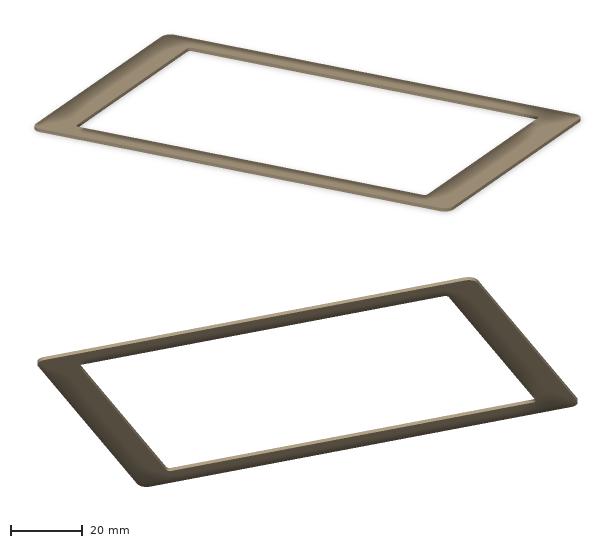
import cadquery as cq

length = 132.0
width = 80.1
thickness = 1.0
corner_radius = 2.8

window_length = 110.9
window_width = 67.3
window_corner_radius = 1.0

plate = (
    cq.Workplane("XY")
    .rect(length, width)
    .extrude(thickness)
    .edges("|Z")
    .fillet(corner_radius)
)

window = (
    cq.Workplane("XY")
    .rect(window_length, window_width)
    .extrude(thickness)
    .edges("|Z")
    .fillet(window_corner_radius)
)

result = plate.cut(window)